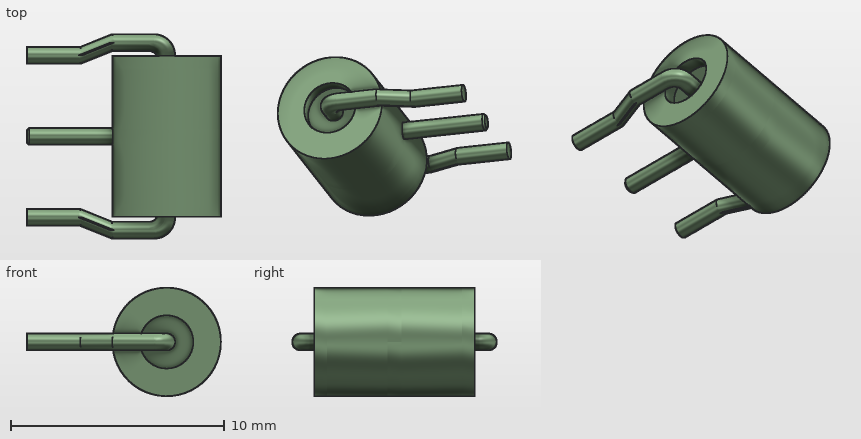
import cadquery as cq
import math

body_diameter = 5.1
ring_width = 0.65
sleeve_length = 2.85
cap_thickness = 0.6

recess_diameter = 2.5
recess_depth = 0.67

wire_diameter = 0.8
tip_x = -6.55
center_lead_chamfer = 0.1
tip_y = 3.8
outer_run_y = 4.4
outside_bend_radius = 0.6
inside_bend_start_x = -0.8
inside_bend_end_x = -0.05
tip_length = 2.5
offset_length = 1.5

body_radius = body_diameter / 2
recess_radius = recess_diameter / 2
wire_radius = wire_diameter / 2
ring_face_y = ring_width / 2
slope_angle = math.atan2(outer_run_y - tip_y, offset_length)
kink_shift = wire_radius * math.tan(slope_angle / 2)
cap_inner_y = ring_face_y + sleeve_length
body_end_y = cap_inner_y + cap_thickness
recess_floor_y = body_end_y - recess_depth
bend_end_y = outer_run_y - outside_bend_radius
inside_bend_dx = inside_bend_end_x - inside_bend_start_x
inside_bend_radius = (inside_bend_dx**2 + outside_bend_radius**2) / (2 * outside_bend_radius)


def make_body():
    """Revolve the body about Y; a point at each joint keeps the flush sections as separate faces."""
    joints = [-body_end_y, -cap_inner_y, -ring_face_y, ring_face_y, cap_inner_y, body_end_y]
    profile = (
        [(0, -recess_floor_y), (recess_radius, -recess_floor_y), (recess_radius, -body_end_y)]
        + [(body_radius, y) for y in joints]
        + [(recess_radius, body_end_y), (recess_radius, recess_floor_y), (0, recess_floor_y)]
    )
    return cq.Workplane("XY").polyline(profile).close().revolve(360, (0, 0, 0), (0, 1, 0), clean=False)


def make_center_lead():
    """Straight lead along X, chamfered at its free tip and buried in the ring."""
    return (
        cq.Workplane("YZ", origin=(tip_x, 0, 0))
        .circle(wire_radius)
        .extrude(-tip_x)
        .faces("<X")
        .chamfer(center_lead_chamfer)
    )


def make_lead_half(side, bend_start_x, bend_end_x):
    """Half-round bar on the outer (side = 1) or inner (side = -1) side of the lead's centerline.

    The kinks shift along X by side, so both edges of the lead turn at the same X.
    """
    kink_x = tip_x + tip_length + side * kink_shift
    path = (
        cq.Workplane("XY")
        .moveTo(tip_x, tip_y)
        .lineTo(kink_x, tip_y)
        .lineTo(kink_x + offset_length, outer_run_y)
        .lineTo(bend_start_x, outer_run_y)
        .tangentArcPoint((bend_end_x, bend_end_y), relative=False)
        .lineTo(bend_end_x, recess_floor_y)
    )
    return (
        cq.Workplane("YZ", origin=(tip_x, tip_y, 0))
        .moveTo(0, -wire_radius)
        .threePointArc((side * wire_radius, 0), (0, wire_radius))
        .close()
        .sweep(path, transition="right")
    )


def make_bend_web():
    """Flat-faced web that fills the sliver between the two halves along the bend and into the recess."""
    return (
        cq.Workplane("XY", origin=(0, 0, -wire_radius))
        .moveTo(inside_bend_end_x, recess_floor_y)
        .lineTo(0, recess_floor_y)
        .lineTo(0, bend_end_y)
        .tangentArcPoint((-outside_bend_radius, outer_run_y), relative=False)
        .lineTo(inside_bend_start_x, outer_run_y)
        .radiusArc((inside_bend_end_x, bend_end_y), inside_bend_radius)
        .close()
        .extrude(wire_diameter)
    )


def make_outer_lead():
    """Lead on the +Y side: straight tip, sloped offset, run beside the body, bend into the recess."""
    outside_half = make_lead_half(1, -outside_bend_radius, 0)
    inside_half = make_lead_half(-1, inside_bend_start_x, inside_bend_end_x)
    return outside_half.union(make_bend_web()).union(inside_half)


outer_lead = make_outer_lead()
result = (
    make_body()
    .union(make_center_lead(), clean=False)
    .union(outer_lead, clean=False)
    .union(outer_lead.mirror("XZ"), clean=False)
)